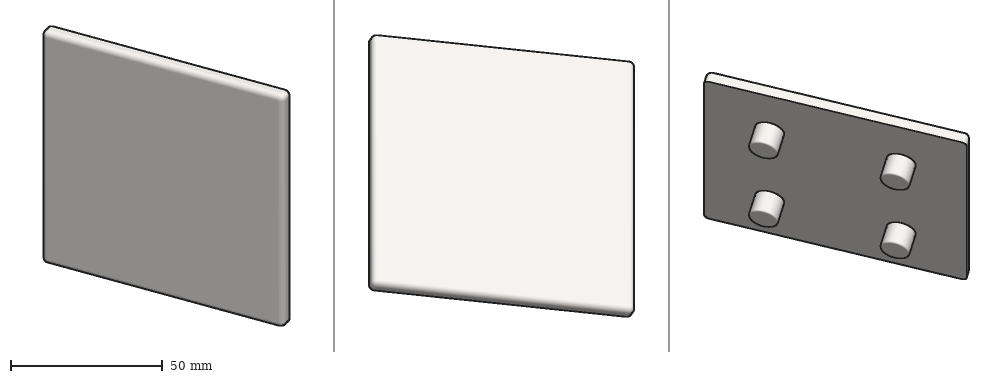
import cadquery as cq

plate_side = 90.0
plate_thickness = 4.5
edge_radius = 2.0
total_depth = 12.5
peg_diameter = 10.0
peg_spacing = 45.0
peg_tip_radius = 0.5

peg_length = total_depth - plate_thickness


def make_plate():
    """Square plate with rounded corners and a rounded front rim."""
    plate = cq.Workplane("XY").box(
        plate_side, plate_thickness, plate_side, centered=(True, False, True)
    )
    plate = plate.edges("|Y").fillet(edge_radius)
    return plate.faces("<Y").edges().fillet(edge_radius)


def make_pegs():
    """Four round pegs in a square pattern, with rounded free ends."""
    pegs = (
        cq.Workplane("XZ", origin=(0, plate_thickness, 0))
        .rarray(peg_spacing, peg_spacing, 2, 2)
        .circle(peg_diameter / 2)
        .extrude(-peg_length)
    )
    return pegs.faces(">Y").edges().fillet(peg_tip_radius)


result = make_plate().union(make_pegs())